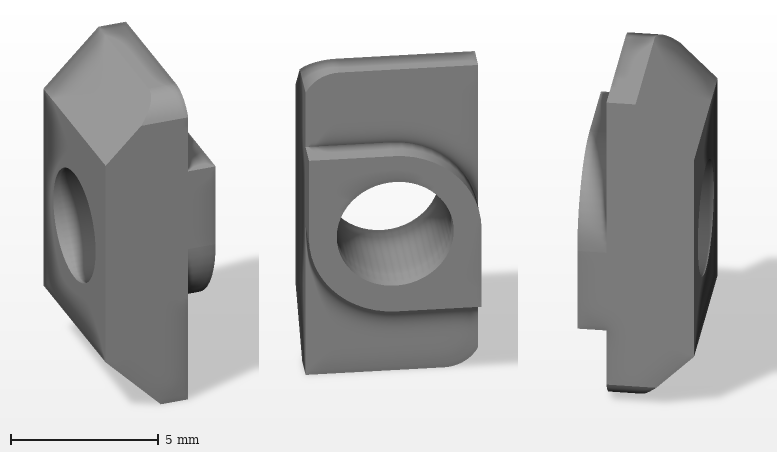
import cadquery as cq
import math

width = 5.9
height = 11.6
depth = 4.0
boss_depth = 1.0
boss_height = 6.0
boss_corner_radius = boss_height / 2
chamfer = 2.01
hole_diameter = 4.0
corner_run = 1.16
corner_radius = 1.3

half_width = width / 2
half_height = height / 2
half_boss = boss_height / 2
body_depth = depth - boss_depth
corner_angle = math.asin(corner_run / corner_radius)
corner_drop = corner_radius * (1 - math.cos(corner_angle))
middle_run = corner_radius * math.sin(corner_angle / 2)
middle_drop = corner_radius * (1 - math.cos(corner_angle / 2))


def make_body():
    """Plate with chamfered front ends and two opposite rounded corners."""
    arc_x = half_width - corner_run
    plate = (
        cq.Workplane("XZ")
        .moveTo(-half_width, half_height)
        .lineTo(arc_x, half_height)
        .threePointArc(
            (arc_x + middle_run, half_height - middle_drop),
            (half_width, half_height - corner_drop),
        )
        .lineTo(half_width, -half_height)
        .lineTo(-arc_x, -half_height)
        .threePointArc(
            (-arc_x - middle_run, middle_drop - half_height),
            (-half_width, corner_drop - half_height),
        )
        .close()
        .extrude(-body_depth)
    )
    side_profile = (
        cq.Workplane("YZ")
        .polyline([
            (0, half_height - chamfer),
            (chamfer, half_height),
            (body_depth, half_height),
            (body_depth, -half_height),
            (chamfer, -half_height),
            (0, chamfer - half_height),
        ])
        .close()
        .extrude(half_width, both=True)
    )
    return plate.intersect(side_profile)


def make_boss():
    """Rear block with two diagonally opposite corners fully rounded."""
    arc_center_x = boss_corner_radius - half_width
    arc_reach = boss_corner_radius * math.sqrt(0.5)
    return (
        cq.Workplane("XZ", origin=(0, body_depth, 0))
        .moveTo(-half_width, -half_boss)
        .lineTo(-half_width, 0)
        .threePointArc((arc_center_x - arc_reach, arc_reach), (arc_center_x, half_boss))
        .lineTo(half_width, half_boss)
        .lineTo(half_width, 0)
        .threePointArc((arc_reach - arc_center_x, -arc_reach), (-arc_center_x, -half_boss))
        .close()
        .extrude(-boss_depth)
    )


def make_hole():
    """Cutter for the central through hole."""
    return cq.Workplane("XZ").circle(hole_diameter / 2).extrude(-depth)


result = make_body().union(make_boss()).cut(make_hole())